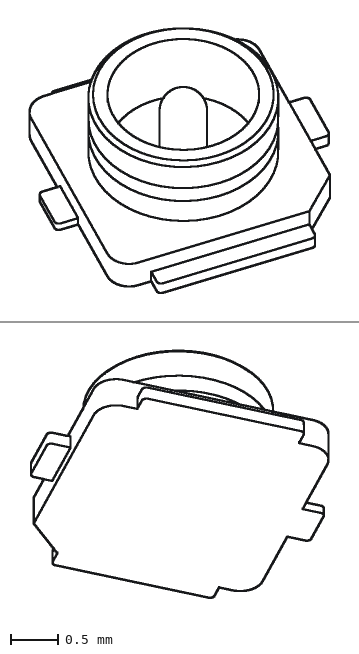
import cadquery as cq
import math

base_side = 2.6
base_height = 0.35
corner_radius = 0.25
corner_chamfer = 0.4

total_height = 1.23
shell_radius = 1.0
bore_radius = 0.8
rim_chamfer = 0.05
groove_radius = 0.1
groove_height = 0.755

pin_radius = 0.25

length_x = 3.0
length_y = 3.1
tab_corner_radius = 0.05
side_tab_width = 1.8
side_tab_thickness = 0.15
front_tab_width = 0.5
front_tab_thickness = 0.1
back_tab_width = 0.6
back_tab_thickness = 0.15
back_tab_bottom = 0.125


def make_base():
    plate = cq.Workplane("XY").box(base_side, base_side, base_height, centered=(True, True, False))
    plate = plate.edges("|Z").edges("<X or <Y").fillet(corner_radius)
    return plate.edges("|Z").edges(">(1, 1, 0)").chamfer(corner_chamfer)


def make_shell():
    shell = (
        cq.Workplane("XY", origin=(0, 0, base_height))
        .circle(shell_radius)
        .extrude(total_height - base_height)
        .faces(">Z").edges().chamfer(rim_chamfer)
        .cut(cq.Workplane("XY").circle(bore_radius).extrude(total_height))
    )
    groove = cq.Solid.makeTorus(shell_radius, groove_radius, cq.Vector(0, 0, groove_height))
    return shell.cut(cq.Workplane(groove))


def make_pin():
    dome_centre = total_height - pin_radius
    dome_side = pin_radius * math.sqrt(0.5)
    return (
        cq.Workplane("XZ")
        .lineTo(pin_radius, 0)
        .lineTo(pin_radius, dome_centre)
        .threePointArc((dome_side, dome_centre + dome_side), (0, total_height))
        .close()
        .revolve(360, (0, 0), (0, 1))
    )


def make_tab(reach, width, thickness, bottom, angle):
    """Flat tab from the part axis out to reach, turned by angle about Z."""
    return (
        cq.Workplane("XY", origin=(0, 0, bottom))
        .box(reach, width, thickness, centered=(False, True, False))
        .edges("|Z and >X").fillet(tab_corner_radius)
        .rotate((0, 0, 0), (0, 0, 1), angle)
    )


result = make_base().union(make_shell()).union(make_pin())
for side_angle in (0, 180):
    result = result.union(make_tab(length_x / 2, side_tab_width, side_tab_thickness, 0, side_angle))
result = result.union(make_tab(length_y / 2, back_tab_width, back_tab_thickness, back_tab_bottom, 90))
result = result.union(make_tab(length_y / 2, front_tab_width, front_tab_thickness, 0, -90))